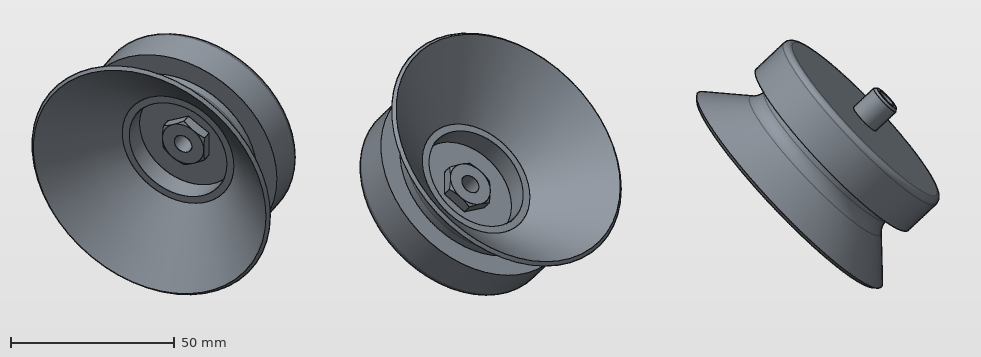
import cadquery as cq
import math


rim_diameter = 82.0
mouth_diameter = 80.0
rim_depth = 1.0
cone_angle = 47.4
neck_diameter = 54.4
neck_fillet = 6.0
floor_diameter = 38.4
floor_depth = 19.1

disc_diameter = 68.0
disc_thickness = 13.9
disc_front = floor_depth
disc_back = disc_front + disc_thickness
disc_fillet = 2.0

recess_diameter = 33.6
recess_bottom = 26.1
nut_flats = 14.2
nut_height = 3.6
nut_chamfer_angle = 30.0

overall_depth = 42.4
stub_diameter = 10.0
stub_chamfer = 0.8
bore_diameter = 6.0


def cylinder_along_y(diameter, start, end):
    """Solid cylinder on the Y axis between two depths."""
    sketch = cq.Workplane("XZ", origin=(0, start, 0)).circle(diameter / 2)
    return sketch.extrude(start - end)


def make_cup():
    """Flared cup: half section revolved about the Y axis."""
    angle = math.radians(cone_angle)
    neck_radius = neck_diameter / 2
    rim_radius = rim_diameter / 2

    def arc_point(turn):
        """Point on the neck fillet after turning away from the axis direction."""
        return (
            neck_radius + neck_fillet * (1 - math.cos(turn)),
            fillet_start - neck_fillet * math.sin(turn),
        )

    fillet_radial = neck_fillet * (1 - math.cos(angle))
    fillet_axial = neck_fillet * math.sin(angle)
    cone_length = (rim_radius - neck_radius - fillet_radial) / math.tan(angle)
    fillet_start = rim_depth + cone_length + fillet_axial

    section = (
        cq.Workplane("XY")
        .moveTo(mouth_diameter / 2, 0)
        .lineTo(rim_radius, rim_depth)
        .lineTo(*arc_point(angle))
        .threePointArc(arc_point(angle / 2), arc_point(0))
        .lineTo(neck_radius, disc_back - disc_fillet)
        .lineTo(0, disc_back - disc_fillet)
        .lineTo(0, floor_depth)
        .lineTo(floor_diameter / 2, floor_depth)
        .close()
    )
    return section.revolve(360, (0, 0, 0), (0, 1, 0))


def make_disc():
    """Backing disc with a rounded rear edge."""
    disc = cylinder_along_y(disc_diameter, disc_front, disc_back)
    return disc.faces(">Y").edges().fillet(disc_fillet)


def make_stub():
    """Stub behind the disc, chamfered at its free end."""
    stub = cylinder_along_y(stub_diameter, recess_bottom, overall_depth)
    return stub.faces(">Y").edges().chamfer(stub_chamfer)


def make_nut():
    """Hexagon with corners up and down, its front corners turned off conically."""
    corner_diameter = nut_flats / math.cos(math.pi / 6)
    nut_front = recess_bottom - nut_height
    hexagon = (
        cq.Workplane("XZ", origin=(0, recess_bottom, 0))
        .transformed(rotate=(0, 0, 90))
        .polygon(6, corner_diameter)
        .extrude(nut_height)
    )
    chamfer_width = (corner_diameter - nut_flats) / 2
    chamfer_depth = chamfer_width * math.tan(math.radians(nut_chamfer_angle))
    turned_blank = (
        cylinder_along_y(corner_diameter, nut_front, recess_bottom)
        .faces("<Y")
        .edges()
        .chamfer(chamfer_depth, chamfer_width)
    )
    return hexagon.intersect(turned_blank)


body = make_cup().union(make_disc())
body = body.cut(cylinder_along_y(recess_diameter, floor_depth, recess_bottom))
body = body.union(make_stub()).union(make_nut())
result = body.cut(cylinder_along_y(bore_diameter, 0, overall_depth))